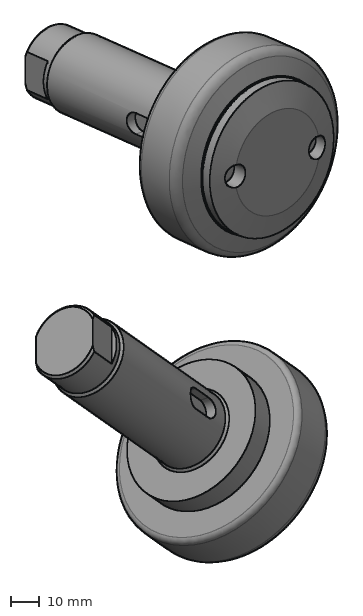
import cadquery as cq
import math

flat_length = 12.0
stud_end = 14.0
shaft_start = 14.9
collar_start = 80.0
collar_end = 89.0
roller_start = 89.4
roller_end = 112.5
cap_start = 112.8
cap_cone_start = 116.6
overall_length = 119.5

stud_diameter = 28.0
shaft_diameter = 30.0
collar_diameter = 54.0
roller_diameter = 77.7
roller_end_diameter = 58.8
back_groove_diameter = 52.0
front_groove_diameter = 56.5
cap_diameter = 58.0
cap_face_diameter = 39.4

small_chamfer = 1.0
crown_radius = 499.5
roller_back_fillet = 2.2
roller_front_fillet = 4.2
roller_cone_angle = 70.5

flat_spacing = 23.9
slot_width = 8.0
slot_length = 2 * slot_width
slot_center = 65.0
slot_depth = 4.1
cap_hole_diameter = 8.6
cap_hole_offset = 19.1
cap_hole_depth = 6.0


def make_stud_and_cap():
    """Revolve the stepped stud, collar and coned end cap, with the narrow grooves beside the roller."""
    stud_radius = stud_diameter / 2
    shaft_radius = shaft_diameter / 2
    return (
        cq.Workplane("XY")
        .moveTo(0, 0)
        .lineTo(0, stud_radius - small_chamfer)
        .lineTo(small_chamfer, stud_radius)
        .lineTo(stud_end, stud_radius)
        .lineTo(shaft_start, shaft_radius)
        .lineTo(collar_start - small_chamfer, shaft_radius)
        .lineTo(collar_start, shaft_radius + small_chamfer)
        .lineTo(collar_start, collar_diameter / 2)
        .lineTo(collar_end, collar_diameter / 2)
        .lineTo(collar_end, back_groove_diameter / 2)
        .lineTo(roller_end, back_groove_diameter / 2)
        .lineTo(roller_end, front_groove_diameter / 2)
        .lineTo(cap_start, front_groove_diameter / 2)
        .lineTo(cap_start, cap_diameter / 2)
        .lineTo(cap_cone_start, cap_diameter / 2)
        .lineTo(overall_length, cap_face_diameter / 2)
        .lineTo(overall_length, 0)
        .close()
        .revolve(360, (0, 0, 0), (1, 0, 0))
    )


def make_roller():
    """Revolve the slightly crowned roller and round both of its rims."""
    radius = roller_diameter / 2
    end_radius = roller_end_diameter / 2
    cone_length = (radius - end_radius) / math.tan(math.radians(roller_cone_angle))
    rim_end = roller_end - cone_length
    half_width = (rim_end - roller_start) / 2
    crown_height = crown_radius - math.sqrt(crown_radius**2 - half_width**2)
    rim_radius = radius - crown_height
    roller = (
        cq.Workplane("XY")
        .moveTo(roller_start, 0)
        .lineTo(roller_start, rim_radius)
        .threePointArc((roller_start + half_width, radius), (rim_end, rim_radius))
        .lineTo(roller_end, end_radius)
        .lineTo(roller_end, 0)
        .close()
        .revolve(360, (0, 0, 0), (1, 0, 0))
    )
    edge_size = 0.1
    back_rim = cq.selectors.BoxSelector(
        (roller_start - edge_size, -radius, -radius), (roller_start + edge_size, radius, radius)
    )
    front_rim = cq.selectors.BoxSelector(
        (rim_end - edge_size, -radius, -radius), (rim_end + edge_size, radius, radius)
    )
    roller = roller.edges(back_rim).fillet(roller_back_fillet)
    return roller.edges(front_rim).fillet(roller_front_fillet)


def cut_wrench_flats(body):
    """Cut two parallel flats across the free end of the stud."""
    for side in (-1, 1):
        waste = cq.Workplane("XY").box(flat_length, stud_diameter, stud_diameter)
        waste_center = side * (flat_spacing + stud_diameter) / 2
        body = body.cut(waste.translate((flat_length / 2, waste_center, 0)))
    return body


def cut_side_slot(body):
    """Cut the round-ended blind slot into the -Y side of the shaft."""
    slot = (
        cq.Workplane("XZ", origin=(slot_center, -shaft_diameter / 2, 0))
        .slot2D(slot_length, slot_width)
        .extrude(-slot_depth)
    )
    return body.cut(slot)


def cut_cap_holes(body):
    """Drill two opposite blind holes along X into the cap face."""
    holes = (
        cq.Workplane("YZ", origin=(overall_length - cap_hole_depth, 0, 0))
        .pushPoints([(-cap_hole_offset, 0), (cap_hole_offset, 0)])
        .circle(cap_hole_diameter / 2)
        .extrude(cap_hole_depth)
    )
    return body.cut(holes)


result = make_stud_and_cap().union(make_roller())
result = cut_wrench_flats(result)
result = cut_side_slot(result)
result = cut_cap_holes(result)